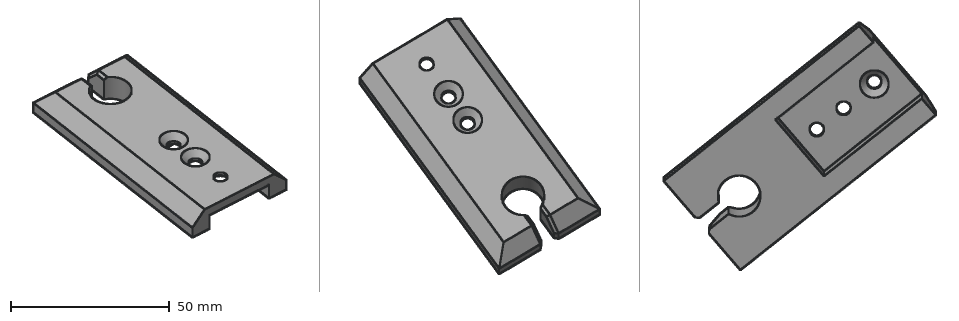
import cadquery as cq

length = 80.0
width = 38.0
height = 9.0
bevel = 5.0

keyhole_x = 15.2
keyhole_diameter = 13.4
slot_width = 4.8
slot_chamfer = 1.0

recess_start_x = 40.0
recess_width = 24.0
recess_ceiling = 5.5

screw_hole_diameter = 4.5
countersink_diameter = 9.0
countersink_angle = 90.0
upper_countersink_xs = (47.0, 57.9)
lower_countersink_x = 70.5


def bevelled_plate():
    plate = cq.Workplane("XY").box(length, width, height, centered=(False, True, False))
    return plate.faces(">Z").edges("<X or <Y or >Y").chamfer(bevel)


def cut_keyhole(plate):
    slot = cq.Workplane("XY").box(keyhole_x, slot_width, height, centered=(False, True, False))
    slotted = plate.cut(slot)
    overlap = 0.1
    mouth_edges = cq.selectors.BoxSelector(
        (-overlap, -slot_width / 2 - overlap, -overlap),
        (keyhole_x - overlap, slot_width / 2 + overlap, height + overlap),
    )
    bottom_edges = cq.selectors.BoxSelector(
        (-overlap, -slot_width, -overlap),
        (keyhole_x + overlap, slot_width, overlap),
    )
    slotted = slotted.edges(mouth_edges - bottom_edges).chamfer(slot_chamfer)
    bore = cq.Workplane("XY").center(keyhole_x, 0).circle(keyhole_diameter / 2).extrude(height)
    return slotted.cut(bore)


def cut_underside_recess(plate):
    recess = cq.Workplane("XY").box(
        length - recess_start_x, recess_width, recess_ceiling, centered=(False, True, False)
    )
    return plate.cut(recess.translate((recess_start_x, 0, 0)))


def drill_screw_holes(plate):
    top = cq.Workplane("XY", origin=(0, 0, height))
    plate = plate.copyWorkplane(top).pushPoints([(x, 0) for x in upper_countersink_xs])
    plate = plate.cskHole(screw_hole_diameter, countersink_diameter, countersink_angle)
    ceiling = cq.Plane(origin=(0, 0, recess_ceiling), xDir=(1, 0, 0), normal=(0, 0, -1))
    plate = plate.copyWorkplane(cq.Workplane(ceiling)).center(lower_countersink_x, 0)
    return plate.cskHole(screw_hole_diameter, countersink_diameter, countersink_angle)


result = drill_screw_holes(cut_underside_recess(cut_keyhole(bevelled_plate())))